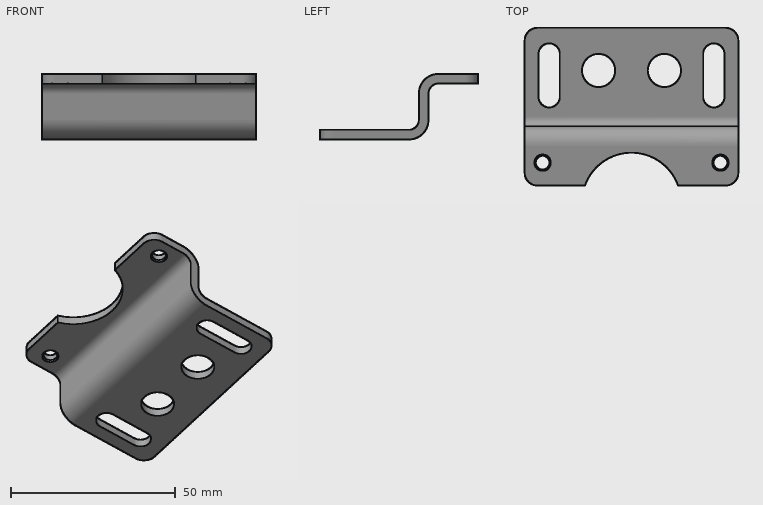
import cadquery as cq

width = 65.0
depth = 48.0
height = 20.0
thickness = 3.0
corner_radius = 4.0

web_front_y = 15.0
web_back_y = web_front_y + thickness
inner_bend_radius = 3.0
outer_bend_radius = inner_bend_radius + thickness

hole_diameter = 10.0
hole_spacing = 20.0
hole_y = 35.0
slot_width = 6.4
slot_travel = 13.0
slot_length = slot_travel + slot_width
slot_spacing = 50.0
slot_y = 33.5

screw_diameter = 4.134
screw_mouth_diameter = 5.0
screw_chamfer = (screw_mouth_diameter - screw_diameter) / 2
screw_spacing = 54.0
screw_y = 7.0
cutout_radius = 15.0
cutout_depth = 10.0


def make_bent_sheet():
    """Z-shaped strip across the full width, front edge on y = 0, underside on z = 0."""
    sheet = (
        cq.Workplane("YZ")
        .moveTo(0, height)
        .lineTo(web_back_y, height)
        .lineTo(web_back_y, thickness)
        .lineTo(depth, thickness)
        .lineTo(depth, 0)
        .lineTo(web_front_y, 0)
        .lineTo(web_front_y, height - thickness)
        .lineTo(0, height - thickness)
        .close()
        .extrude(width / 2, both=True)
    )
    return round_bends(sheet)


def bend_edge(y, z):
    """Selector for the edge along X that passes through (y, z)."""
    return cq.selectors.NearestToPointSelector((0, y, z))


def round_bends(sheet):
    """Round the outside and inside of both bends about a common centre."""
    outer_bends = [(web_back_y, height), (web_front_y, 0)]
    inner_bends = [(web_front_y, height - thickness), (web_back_y, thickness)]
    for y, z in outer_bends:
        sheet = sheet.edges("|X").edges(bend_edge(y, z)).fillet(outer_bend_radius)
    for y, z in inner_bends:
        sheet = sheet.edges("|X").edges(bend_edge(y, z)).fillet(inner_bend_radius)
    return sheet


def round_flange_corners(sheet):
    """Round the four outer corners of the two flanges."""
    return sheet.edges("|Z and (<Y or >Y)").fillet(corner_radius)


def mirrored_pair(spacing, y):
    """Two points placed symmetrically about x = 0."""
    return [(-spacing / 2, y), (spacing / 2, y)]


def make_rear_cutters():
    """Through cutters for the two round holes and the two slots."""
    holes = (
        cq.Workplane("XY")
        .pushPoints(mirrored_pair(hole_spacing, hole_y))
        .circle(hole_diameter / 2)
        .extrude(thickness)
    )
    slots = (
        cq.Workplane("XY")
        .pushPoints(mirrored_pair(slot_spacing, slot_y))
        .slot2D(slot_length, slot_width, 90)
        .extrude(thickness)
    )
    return holes.union(slots)


def cut_screw_holes(sheet):
    """Drill the front flange and chamfer both mouths of each hole, the smallest circles on the part."""
    return (
        sheet.cut(
            cq.Workplane("XY", origin=(0, 0, height))
            .pushPoints(mirrored_pair(screw_spacing, screw_y))
            .circle(screw_diameter / 2)
            .extrude(-thickness)
        )
        .edges("%CIRCLE")
        .edges(cq.selectors.RadiusNthSelector(0))
        .chamfer(screw_chamfer)
    )


def make_cutout():
    """Round clearance whose centre lies ahead of the front edge."""
    return (
        cq.Workplane("XY", origin=(0, 0, height))
        .center(0, cutout_depth - cutout_radius)
        .circle(cutout_radius)
        .extrude(-thickness)
    )


bracket = round_flange_corners(make_bent_sheet())
bracket = bracket.cut(make_rear_cutters())
bracket = cut_screw_holes(bracket)
result = bracket.cut(make_cutout())